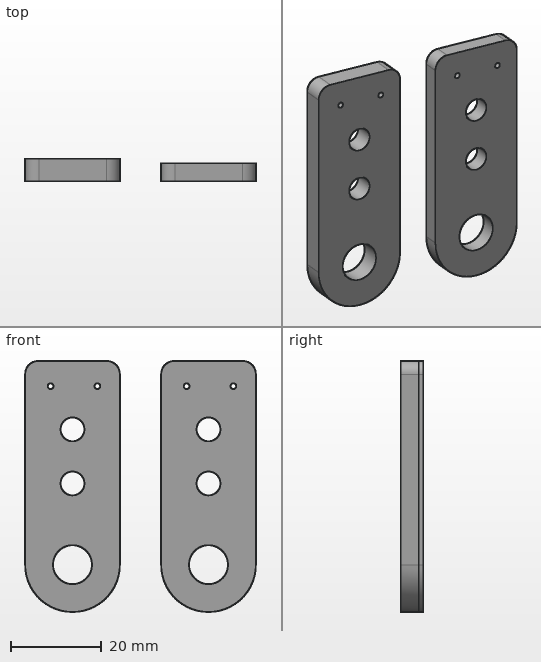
import cadquery as cq

overall_height = 55.5
plate_width = 21.0
end_radius = plate_width / 2
corner_radius = 3.0
top_z = overall_height - end_radius

plate_pitch = 30.0
thick_plate_thickness = 5.0
thin_plate_thickness = 4.0

pivot_hole_diameter = 8.55
middle_hole_diameter = 5.2
lower_middle_hole_z = 17.9
upper_middle_hole_z = 29.85
pin_hole_diameter = 1.2
pin_hole_z = 39.4
left_pin_hole_x = -4.85
right_pin_hole_x = 5.5


def plate_blank(thickness):
    """Plate with its front face at Y = 0, extending toward +Y."""
    return (
        cq.Workplane("XZ")
        .moveTo(-end_radius, 0)
        .lineTo(-end_radius, top_z)
        .lineTo(end_radius, top_z)
        .lineTo(end_radius, 0)
        .threePointArc((0, -end_radius), (-end_radius, 0))
        .close()
        .extrude(-thickness)
        .edges("|Y and >Z")
        .fillet(corner_radius)
    )


def hole_cutters(diameter, centres, depth):
    """Cylinders along +Y at the given (x, z) centres."""
    return cq.Workplane("XZ").pushPoints(centres).circle(diameter / 2).extrude(-depth)


def drilled_plate(thickness):
    """Plate with the pivot hole, two middle holes and two small pin holes."""
    middle_holes = [(0, lower_middle_hole_z), (0, upper_middle_hole_z)]
    pin_holes = [(left_pin_hole_x, pin_hole_z), (right_pin_hole_x, pin_hole_z)]
    return (
        plate_blank(thickness)
        .cut(hole_cutters(pivot_hole_diameter, [(0, 0)], thickness))
        .cut(hole_cutters(middle_hole_diameter, middle_holes, thickness))
        .cut(hole_cutters(pin_hole_diameter, pin_holes, thickness))
    )


thick_plate = drilled_plate(thick_plate_thickness)
thin_plate = drilled_plate(thin_plate_thickness).translate((plate_pitch, 0, 0))

result = cq.Compound.makeCompound([thick_plate.solids().val(), thin_plate.solids().val()])